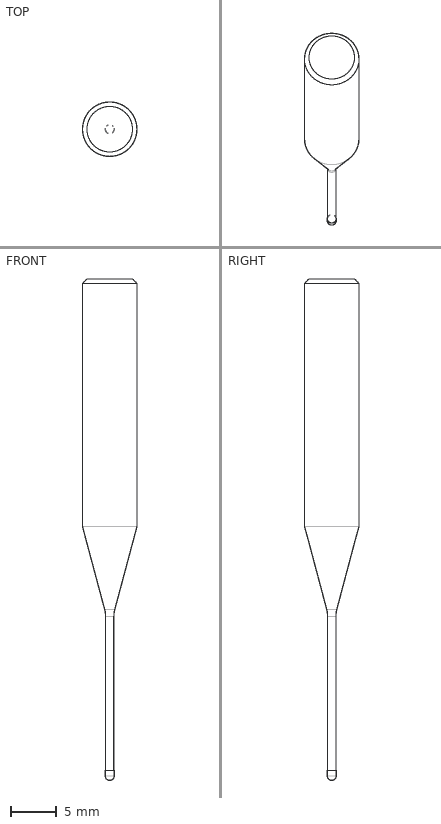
import cadquery as cq
import math

total_length = 55.0
shank_diameter = 6.0
shank_chamfer = 0.5
head_radius = 0.5
head_length = 1.1
neck_diameter = 0.95
neck_top = 18.0
blend_radius = 3.0
taper_angle = math.radians(15)

shank_radius = shank_diameter / 2
neck_radius = neck_diameter / 2


def blend_point(angle):
    """Point (radius, Z) on the blend arc after turning by angle from the neck."""
    return (
        neck_radius + blend_radius * (1 - math.cos(angle)),
        neck_top + blend_radius * math.sin(angle),
    )


def make_holder():
    """Chamfered shank, taper, tangent blend and slim neck, turned about Z."""
    taper_radius, taper_bottom = blend_point(taper_angle)
    shank_bottom = taper_bottom + (shank_radius - taper_radius) / math.tan(taper_angle)
    return (
        cq.Workplane("XZ")
        .moveTo(0, head_length)
        .lineTo(neck_radius, head_length)
        .lineTo(neck_radius, neck_top)
        .threePointArc(blend_point(taper_angle / 2), (taper_radius, taper_bottom))
        .lineTo(shank_radius, shank_bottom)
        .lineTo(shank_radius, total_length - shank_chamfer)
        .lineTo(shank_radius - shank_chamfer, total_length)
        .lineTo(0, total_length)
        .close()
        .revolve(360, (0, 0, 0), (0, 1, 0))
    )


def make_cutting_head():
    """Short cylinder ending in a hemisphere, seated against the neck."""
    arc_offset = head_radius * math.sqrt(0.5)
    return (
        cq.Workplane("XZ")
        .moveTo(0, 0)
        .threePointArc((arc_offset, head_radius - arc_offset), (head_radius, head_radius))
        .lineTo(head_radius, head_length)
        .lineTo(0, head_length)
        .close()
        .revolve(360, (0, 0, 0), (0, 1, 0))
    )


holder = make_holder()
cutting_head = make_cutting_head()
result = cq.Compound.makeCompound([holder.val(), cutting_head.val()])